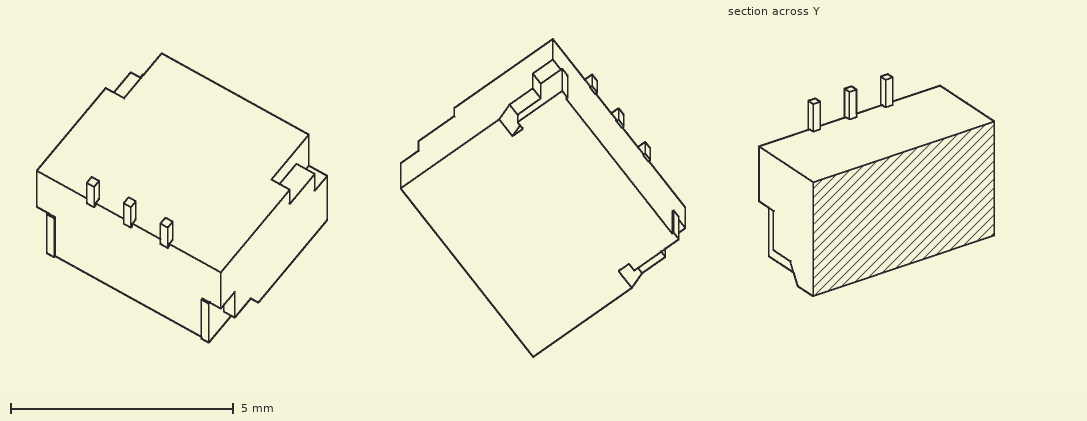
import cadquery as cq

width = 5.0
body_length = 4.26
body_height = 2.91
front_y = -body_length

corner_width = 0.5
upper_step_length = 1.5
upper_step_depth = 0.55
lower_step_length = 0.5
lower_step_depth = 1.2

tab_inset = 0.3
tab_thickness = 0.2
tab_projection = 0.04
tab_height = 1.51
tab_upper_length = 0.6
tab_foot_length = 1.25
tab_foot_height = 0.51
recess_slope_run = 0.29
recess_width = tab_inset + tab_thickness

pin_count = 3
pin_pitch = 1.0
pin_size = 0.2
pin_projection = 0.06
pin_rise = 0.7
pin_drop = 0.09


def side_plate(points, inset, thickness):
    """Extrude a (Y, Z) outline into a plate near the -X side and mirror it to +X."""
    plate = (
        cq.Workplane("YZ", origin=(-width / 2 + inset, 0, 0))
        .polyline(points)
        .close()
        .extrude(thickness)
    )
    return plate.union(plate.mirror("YZ"))


def make_corner_notches():
    upper_z = body_height - upper_step_depth
    lower_z = body_height - lower_step_depth
    outline = [
        (0, body_height),
        (-upper_step_length, body_height),
        (-upper_step_length, upper_z),
        (-lower_step_length, upper_z),
        (-lower_step_length, lower_z),
        (0, lower_z),
    ]
    return side_plate(outline, 0, corner_width)


def tab_outline(foot_extension):
    """L-shaped outline whose foot reaches back further at the bottom by foot_extension."""
    tab_front = front_y - tab_projection
    upper_back = tab_front + tab_upper_length
    foot_back = tab_front + tab_foot_length
    return [
        (tab_front, 0),
        (tab_front, tab_height),
        (upper_back, tab_height),
        (upper_back, tab_foot_height),
        (foot_back, tab_foot_height),
        (foot_back + foot_extension, 0),
    ]


def make_pins():
    pin_height = pin_rise + pin_drop
    pins = cq.Workplane("XY")
    for index in range(pin_count):
        x = (index - (pin_count - 1) / 2) * pin_pitch
        pin = (
            cq.Workplane("XY", origin=(x, front_y - pin_projection, body_height - pin_drop))
            .box(pin_size, pin_size, pin_height, centered=(True, False, False))
        )
        pins = pins.add(pin)
    return pins.combine()


body = (
    cq.Workplane("XY", origin=(0, front_y, 0))
    .box(width, body_length, body_height, centered=(True, False, False))
)
recesses = side_plate(tab_outline(recess_slope_run), 0, recess_width)
tabs = side_plate(tab_outline(0), tab_inset, tab_thickness)

result = body.cut(make_corner_notches()).cut(recesses).union(tabs).union(make_pins())